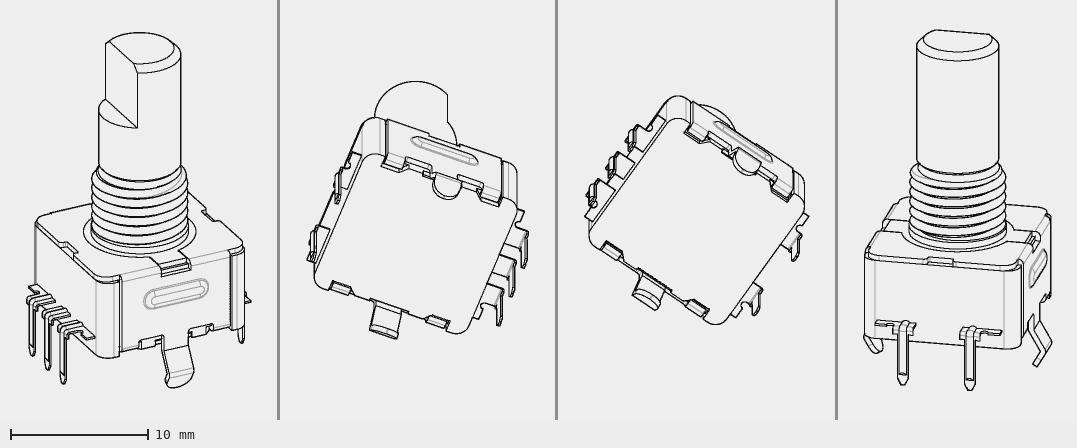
import cadquery as cq
import math


HOUSING_WIDTH = 11.6
HOUSING_LENGTH = 12.0
HOUSING_CORNER = 1.0
HOUSING_TOP = 6.1
RECESS_HALF_LENGTH = 4.58

SHEET = 0.4
COVER_TOP = HOUSING_TOP + SHEET
COVER_INNER_X = 5.5
COVER_OUTER_X = COVER_INNER_X + SHEET
COVER_CORNER = 1.0
COVER_BEND_RADIUS = 0.399
FLANGE_HALF_LENGTH = 4.42
FLANGE_BOTTOM = 1.0

WINDOW_RADIUS = 4.1
SLOT_HALF_WIDTH = 1.2
ARM_CLEARANCE = 0.05
ARM_HALF_WIDTH = SLOT_HALF_WIDTH - ARM_CLEARANCE
ARM_END_X = 5.27
BEND_SLOT_BOTTOM = 5.78

EDGE_NOTCH_HALF_WIDTH = 0.95
EDGE_NOTCH_DEPTH = 0.54
EDGE_NOTCH_INNER_RADIUS = 0.12
EDGE_NOTCH_MOUTH_RADIUS = 0.27

HOOK_INNER_Y = 3.04
HOOK_REACH = 0.35
HOOK_TOP = 0.62
POCKET_INNER_Y = 2.64
POCKET_DEPTH = 0.56

LEG_HALF_WIDTH = 1.0
LEG_ANGLE = math.radians(30)
LEG_MAX_X = 6.795
LEG_ELBOW_Z = -1.98
LEG_TIP_Z = -3.51
LEG_TIP_RADIUS = 0.98
FLANGE_NOTCH_RADIUS = 0.2
LEG_RELIEF_HALF_WIDTH = 1.5
LEG_RELIEF_TOP = 0.49
LEG_RELIEF_DEPTH = 0.2

BEAD_Z = 4.1
BEAD_HALF_STRAIGHT = 1.85
BEAD_BASE_RADIUS = 0.8
BEAD_TOP_RADIUS = 0.31
BEAD_HEIGHT = 0.26
BEAD_FLARE_RADIUS = 0.12

COLLAR_DIAMETER = 7.1
COLLAR_TOP = 7.0
BUSHING_TOP = 11.5
THREAD_RADIUS = 3.5
THREAD_ROOT_RADIUS = 2.9
THREAD_PITCH = 0.75
THREAD_CREST_Z = 7.32
THREAD_TURNS = 7
THREAD_CREST_FLAT = 0.02
THREAD_ROOT_FLAT = 0.015
THREAD_ROOT_OVERLAP = 0.1
THREAD_CHAMFER = 0.52

SHAFT_DIAMETER = 6.0
NECK_DIAMETER = 3.0
SHAFT_TOP = 21.5
SHAFT_SHOULDER = 12.0
NECK_BOTTOM = COVER_TOP
SHAFT_TOP_CHAMFER = 0.5
SHAFT_SHOULDER_CHAMFER = 0.2
D_CUT_BOTTOM = 16.5
D_CUT_Y = -1.5

TERMINAL_THICKNESS = 0.15
TERMINAL_TOP = 1.45
TERMINAL_PITCH = 2.5
TERMINAL_BEND = 0.23
TERMINAL_NECK_WIDTH = 1.5
TERMINAL_NECK_BOTTOM = 0.91
PIN_WIDTH = 0.8
PIN_BOTTOM = -3.03
PIN_TAPER = 0.5
PIN_TIP_WIDTH = 0.3
RIB_WIDTH = 0.55
RIB_HEIGHT = 0.15
RIB_BOTTOM = -2.03
RIB_RUNOUT = 0.2
WING_OUTER_X = 4.66
WING_END_Y = 6.7
WING_NOTCH_RADIUS = 0.27
FRONT_PIN_Y = 7.57
BACK_PIN_Y = 7.08


def box(x0, x1, y0, y1, z0, z1):
    """Box between two corners."""
    return cq.Workplane("XY").box(x1 - x0, y1 - y0, z1 - z0, centered=False).translate((x0, y0, z0))


def both_x_sides(part):
    """The part together with its mirror image across the YZ plane."""
    return part.union(part.mirror("YZ"))


def both_y_sides(part):
    """The part together with its mirror image across the XZ plane."""
    return part.union(part.mirror("XZ"))



def make_shaft():
    neck = cq.Workplane("XY").workplane(offset=NECK_BOTTOM)
    neck = neck.circle(NECK_DIAMETER / 2).extrude(SHAFT_SHOULDER - NECK_BOTTOM)
    body = cq.Workplane("XY").workplane(offset=SHAFT_SHOULDER)
    body = body.circle(SHAFT_DIAMETER / 2).extrude(SHAFT_TOP - SHAFT_SHOULDER)
    body = body.faces(">Z").chamfer(SHAFT_TOP_CHAMFER)
    body = body.faces("<Z").chamfer(SHAFT_SHOULDER_CHAMFER)
    radius = SHAFT_DIAMETER / 2
    d_cut = box(-radius, radius, -radius, D_CUT_Y, D_CUT_BOTTOM, SHAFT_TOP)
    return neck.union(body.cut(d_cut))



def window_shape(arm_half_width):
    """Disc with an arm to each side, one sheet thickness high."""
    disc = cq.Workplane("XY").workplane(offset=HOUSING_TOP).circle(WINDOW_RADIUS).extrude(SHEET)
    arms = box(-ARM_END_X, ARM_END_X, -arm_half_width, arm_half_width, HOUSING_TOP, COVER_TOP)
    return disc.union(arms)


def make_block():
    block = cq.Workplane("XY").rect(HOUSING_WIDTH, HOUSING_LENGTH).extrude(HOUSING_TOP)
    block = block.edges("|Z").fillet(HOUSING_CORNER)
    recess = box(COVER_INNER_X, HOUSING_WIDTH, -RECESS_HALF_LENGTH, RECESS_HALF_LENGTH, 0, HOUSING_TOP)
    block = block.cut(both_x_sides(recess))
    return block.union(window_shape(ARM_HALF_WIDTH))


def hook_pocket():
    """Pocket under one corner, with its inner side wall at a slant."""
    back_x = COVER_INNER_X - POCKET_DEPTH
    return (
        cq.Workplane("XY")
        .moveTo(COVER_INNER_X, POCKET_INNER_Y)
        .lineTo(back_x, POCKET_INNER_Y + POCKET_DEPTH)
        .lineTo(back_x, RECESS_HALF_LENGTH)
        .lineTo(COVER_INNER_X, RECESS_HALF_LENGTH)
        .close()
        .extrude(HOOK_TOP)
    )


def leg_relief():
    """Shallow pocket behind a mounting leg, with a sloping roof."""
    back_x = COVER_INNER_X - LEG_RELIEF_DEPTH
    return (
        cq.Workplane("XZ")
        .moveTo(COVER_INNER_X, 0)
        .lineTo(COVER_INNER_X, LEG_RELIEF_TOP)
        .lineTo(back_x, LEG_RELIEF_TOP - LEG_RELIEF_DEPTH)
        .lineTo(back_x, 0)
        .close()
        .extrude(LEG_RELIEF_HALF_WIDTH, both=True)
    )


def make_thread():
    """Core with a right-hand ridge, trimmed to the bushing length with a chamfered top."""
    start_z = THREAD_CREST_Z - THREAD_PITCH
    helix = cq.Wire.makeHelix(THREAD_PITCH, THREAD_TURNS * THREAD_PITCH, THREAD_ROOT_RADIUS)
    half_base = THREAD_PITCH / 2 - THREAD_ROOT_FLAT / 2
    half_crest = THREAD_CREST_FLAT / 2
    inner_radius = THREAD_ROOT_RADIUS - THREAD_ROOT_OVERLAP
    ridge = (
        cq.Workplane("XZ")
        .moveTo(inner_radius, -half_base)
        .lineTo(THREAD_ROOT_RADIUS, -half_base)
        .lineTo(THREAD_RADIUS, -half_crest)
        .lineTo(THREAD_RADIUS, half_crest)
        .lineTo(THREAD_ROOT_RADIUS, half_base)
        .lineTo(inner_radius, half_base)
        .close()
        .sweep(cq.Workplane(obj=helix), isFrenet=True)
        .translate((0, 0, start_z))
    )
    core = cq.Workplane("XY").workplane(offset=start_z - THREAD_PITCH)
    core = core.circle(THREAD_ROOT_RADIUS).extrude((THREAD_TURNS + 2) * THREAD_PITCH)
    blank = cq.Workplane("XY").workplane(offset=HOUSING_TOP)
    blank = blank.circle(COLLAR_DIAMETER / 2).extrude(BUSHING_TOP - HOUSING_TOP)
    blank = blank.faces(">Z").chamfer(THREAD_CHAMFER)
    return core.union(ridge).intersect(blank)


def make_bushing():
    collar = cq.Workplane("XY").workplane(offset=HOUSING_TOP)
    collar = collar.circle(COLLAR_DIAMETER / 2).extrude(COLLAR_TOP - HOUSING_TOP)
    return collar.union(make_thread())


def terminal_strip(outer_y):
    """L-shaped strip, neck wide at the bend and narrow down the pin, centred on X = 0."""
    inner_y = outer_y - TERMINAL_THICKNESS
    wall_y = HOUSING_LENGTH / 2
    bottom_z = TERMINAL_TOP - TERMINAL_THICKNESS
    bend_y = outer_y - TERMINAL_BEND
    bend_z = TERMINAL_TOP - TERMINAL_BEND
    inner_bend = TERMINAL_BEND - TERMINAL_THICKNESS
    across = math.sqrt(0.5)
    strip = (
        cq.Workplane("YZ")
        .moveTo(wall_y, bottom_z)
        .lineTo(wall_y, TERMINAL_TOP)
        .lineTo(bend_y, TERMINAL_TOP)
        .threePointArc(
            (bend_y + TERMINAL_BEND * across, bend_z + TERMINAL_BEND * across), (outer_y, bend_z)
        )
        .lineTo(outer_y, PIN_BOTTOM)
        .lineTo(inner_y, PIN_BOTTOM)
        .lineTo(inner_y, bend_z)
        .threePointArc(
            (bend_y + inner_bend * across, bend_z + inner_bend * across), (bend_y, bottom_z)
        )
        .close()
        .extrude(TERMINAL_NECK_WIDTH / 2, both=True)
    )
    outline = (
        cq.Workplane("XZ")
        .moveTo(TERMINAL_NECK_WIDTH / 2, TERMINAL_TOP)
        .lineTo(TERMINAL_NECK_WIDTH / 2, TERMINAL_NECK_BOTTOM)
        .lineTo(PIN_WIDTH / 2, TERMINAL_NECK_BOTTOM)
        .lineTo(PIN_WIDTH / 2, PIN_BOTTOM + PIN_TAPER)
        .lineTo(PIN_TIP_WIDTH / 2, PIN_BOTTOM)
        .lineTo(0, PIN_BOTTOM)
        .lineTo(0, TERMINAL_TOP)
        .close()
        .extrude(-outer_y)
    )
    return strip.intersect(both_x_sides(outline))


def terminal_rib(outer_y):
    """Rounded rib along the outer face of a terminal, running out to a slope at its lower end."""
    wall_y = HOUSING_LENGTH / 2
    bend_y = outer_y - TERMINAL_BEND
    bend_z = TERMINAL_TOP - TERMINAL_BEND
    across = TERMINAL_BEND * math.sqrt(0.5)
    path = (
        cq.Workplane("YZ")
        .moveTo(wall_y, TERMINAL_TOP)
        .lineTo(bend_y, TERMINAL_TOP)
        .threePointArc((bend_y + across, bend_z + across), (outer_y, bend_z))
        .lineTo(outer_y, RIB_BOTTOM - RIB_RUNOUT)
    )
    half = RIB_WIDTH / 2
    sunk_z = TERMINAL_TOP - TERMINAL_THICKNESS / 2
    rib = (
        cq.Workplane("XZ", origin=(0, wall_y, 0))
        .moveTo(-half, sunk_z)
        .lineTo(-half, TERMINAL_TOP)
        .threePointArc((0, TERMINAL_TOP + RIB_HEIGHT), (half, TERMINAL_TOP))
        .lineTo(half, sunk_z)
        .close()
        .sweep(path)
    )
    runout = (
        cq.Workplane("YZ")
        .moveTo(outer_y, RIB_BOTTOM - RIB_RUNOUT)
        .lineTo(outer_y + RIB_HEIGHT, RIB_BOTTOM)
        .lineTo(outer_y + RIB_HEIGHT, RIB_BOTTOM - RIB_RUNOUT)
        .close()
        .extrude(half, both=True)
    )
    return rib.cut(runout)


def terminal_wing():
    """Flat wing on the -X side of a corner terminal, notched where it meets the neck."""
    neck_x = TERMINAL_PITCH + TERMINAL_NECK_WIDTH / 2
    bottom_z = TERMINAL_TOP - TERMINAL_THICKNESS
    wing = box(-WING_OUTER_X, -neck_x, HOUSING_LENGTH / 2, WING_END_Y, bottom_z, TERMINAL_TOP)
    notch = cq.Workplane("XY").workplane(offset=bottom_z)
    notch = notch.center(-neck_x - WING_NOTCH_RADIUS, WING_END_Y)
    return wing.cut(notch.circle(WING_NOTCH_RADIUS).extrude(TERMINAL_THICKNESS))


def terminal_row(outer_y, with_middle):
    """Terminals on the +Y side of the housing."""
    terminal = terminal_strip(outer_y).union(terminal_rib(outer_y))
    corner = terminal.translate((-TERMINAL_PITCH, 0, 0)).union(terminal_wing())
    row = both_x_sides(corner)
    return row.union(terminal) if with_middle else row


def make_housing():
    housing = make_block().cut(both_x_sides(both_y_sides(hook_pocket()))).cut(both_x_sides(leg_relief()))
    bore = cq.Workplane("XY").workplane(offset=NECK_BOTTOM)
    bore = bore.circle(NECK_DIAMETER / 2).extrude(BUSHING_TOP - NECK_BOTTOM)
    housing = housing.union(terminal_row(BACK_PIN_Y, with_middle=False))
    housing = housing.union(terminal_row(FRONT_PIN_Y, with_middle=True).mirror("XZ"))
    return housing.union(make_bushing().cut(bore))



def edge_notch():
    """Notch in the +Y edge of the cover top, with a flared mouth."""
    edge_y = HOUSING_LENGTH / 2
    half = EDGE_NOTCH_HALF_WIDTH
    flare = EDGE_NOTCH_MOUTH_RADIUS
    notch = box(-half, half, edge_y - EDGE_NOTCH_DEPTH, edge_y, HOUSING_TOP, COVER_TOP)
    notch = notch.edges("|Z and <Y").fillet(EDGE_NOTCH_INNER_RADIUS)
    mouth = box(half, half + flare, edge_y - flare, edge_y, HOUSING_TOP, COVER_TOP)
    rounding = cq.Workplane("XY").workplane(offset=HOUSING_TOP).center(half + flare, edge_y - flare)
    mouth = mouth.cut(rounding.circle(flare).extrude(SHEET))
    return notch.union(both_x_sides(mouth))


def cover_plate():
    plate = cq.Workplane("XY").workplane(offset=HOUSING_TOP)
    plate = plate.rect(2 * COVER_INNER_X, HOUSING_LENGTH).extrude(SHEET)
    plate = plate.edges("|Z").fillet(COVER_CORNER)
    return plate.cut(both_y_sides(edge_notch()))


def cover_flange():
    """Flange on the +X side, with its bend to the top plate."""
    flange = box(
        COVER_INNER_X, COVER_OUTER_X, -FLANGE_HALF_LENGTH, FLANGE_HALF_LENGTH, FLANGE_BOTTOM, COVER_TOP
    )
    return flange.edges("|Y and >Z and >X").fillet(COVER_BEND_RADIUS)


def cover_hook():
    """Foot of the flange that folds under the housing at the +Y end."""
    across = SHEET * math.sqrt(0.5)
    return (
        cq.Workplane("XZ", origin=(0, FLANGE_HALF_LENGTH, 0))
        .moveTo(COVER_INNER_X, FLANGE_BOTTOM)
        .lineTo(COVER_OUTER_X, FLANGE_BOTTOM)
        .lineTo(COVER_OUTER_X, HOOK_TOP)
        .threePointArc((COVER_INNER_X + across, HOOK_TOP - across), (COVER_INNER_X, HOOK_TOP - SHEET))
        .lineTo(COVER_INNER_X - HOOK_REACH, HOOK_TOP - SHEET)
        .lineTo(COVER_INNER_X - HOOK_REACH, HOOK_TOP)
        .lineTo(COVER_INNER_X, HOOK_TOP)
        .close()
        .extrude(FLANGE_HALF_LENGTH - HOOK_INNER_Y)
    )


def notch_fillet(corner_y, direction):
    """Concave fillet below the flange, in the corner beside a hook or the leg."""
    radius = FLANGE_NOTCH_RADIUS
    centre_y = corner_y + direction * radius
    y0, y1 = sorted((corner_y, centre_y))
    fillet = box(COVER_INNER_X, COVER_OUTER_X, y0, y1, FLANGE_BOTTOM - radius, FLANGE_BOTTOM)
    rounding = cq.Workplane("YZ", origin=(COVER_INNER_X, centre_y, FLANGE_BOTTOM - radius))
    return fillet.cut(rounding.circle(radius).extrude(SHEET))


def mounting_leg():
    """Leg on the +X side: straight down, kinked out, then in to a round tip."""
    sin_a = math.sin(LEG_ANGLE)
    cos_a = math.cos(LEG_ANGLE)
    elbow_x = LEG_MAX_X - SHEET
    kink_z = LEG_ELBOW_Z + (elbow_x - COVER_INNER_X) / math.tan(LEG_ANGLE)
    outer_kink_z = kink_z + SHEET * math.tan(LEG_ANGLE / 2)
    lower_length = (LEG_ELBOW_Z - SHEET * sin_a - LEG_TIP_Z) / cos_a
    tip_x = elbow_x - lower_length * sin_a
    tip_z = LEG_ELBOW_Z - lower_length * cos_a
    leg = (
        cq.Workplane("XZ")
        .moveTo(COVER_INNER_X, FLANGE_BOTTOM)
        .lineTo(COVER_OUTER_X, FLANGE_BOTTOM)
        .lineTo(COVER_OUTER_X, outer_kink_z)
        .lineTo(elbow_x + SHEET * cos_a, LEG_ELBOW_Z + SHEET * sin_a)
        .threePointArc(
            (elbow_x + SHEET, LEG_ELBOW_Z), (elbow_x + SHEET * cos_a, LEG_ELBOW_Z - SHEET * sin_a)
        )
        .lineTo(tip_x + SHEET * cos_a, tip_z - SHEET * sin_a)
        .lineTo(tip_x, tip_z)
        .lineTo(elbow_x, LEG_ELBOW_Z)
        .lineTo(COVER_INNER_X, kink_z)
        .close()
        .extrude(LEG_HALF_WIDTH, both=True)
    )
    for side in (-1, 1):
        corner = (tip_x + SHEET * cos_a / 2, side * LEG_HALF_WIDTH, tip_z - SHEET * sin_a / 2)
        leg = leg.edges(cq.selectors.NearestToPointSelector(corner)).fillet(LEG_TIP_RADIUS)
    return leg


def bead():
    """Raised bead on the +X flange: a straight run with a half-round end each way."""
    run = BEAD_BASE_RADIUS - BEAD_TOP_RADIUS
    crown_radius = (run ** 2 + BEAD_HEIGHT ** 2) / (2 * BEAD_HEIGHT) - BEAD_FLARE_RADIUS
    turn = math.asin(run / (crown_radius + BEAD_FLARE_RADIUS))

    def on_flare(angle):
        return (
            BEAD_BASE_RADIUS - BEAD_FLARE_RADIUS * math.sin(angle),
            BEAD_FLARE_RADIUS * (1 - math.cos(angle)),
        )

    def on_crown(angle):
        return (
            BEAD_TOP_RADIUS + crown_radius * math.sin(angle),
            BEAD_HEIGHT - crown_radius * (1 - math.cos(angle)),
        )

    def half_section(plane):
        return (
            plane.moveTo(0, 0)
            .lineTo(BEAD_BASE_RADIUS, 0)
            .threePointArc(on_flare(turn / 2), on_flare(turn))
            .threePointArc(on_crown(turn / 2), on_crown(0))
            .lineTo(0, BEAD_HEIGHT)
            .close()
        )

    straight = half_section(cq.Workplane("YZ")).extrude(BEAD_HALF_STRAIGHT, both=True)
    dome = half_section(cq.Workplane("XZ")).revolve(360, (0, 0, 0), (0, 1, 0))
    shape = both_y_sides(straight)
    for end in (-BEAD_HALF_STRAIGHT, BEAD_HALF_STRAIGHT):
        shape = shape.union(dome.translate((end, 0, 0)))
    shape = shape.rotate((0, 0, 0), (0, 0, 1), 90).rotate((0, 0, 0), (0, 1, 0), 90)
    return shape.translate((COVER_OUTER_X, 0, BEAD_Z))


def make_cover():
    side = cover_flange().union(both_y_sides(cover_hook())).union(mounting_leg())
    fillets = notch_fillet(LEG_HALF_WIDTH, 1).union(notch_fillet(HOOK_INNER_Y, -1))
    side = side.union(both_y_sides(fillets)).union(bead())
    cover = cover_plate().union(both_x_sides(side))
    bend_slot = box(ARM_END_X, COVER_OUTER_X, -SLOT_HALF_WIDTH, SLOT_HALF_WIDTH, BEND_SLOT_BOTTOM, COVER_TOP)
    return cover.cut(window_shape(SLOT_HALF_WIDTH)).cut(both_x_sides(bend_slot))


shaft = make_shaft()
housing = make_housing()
cover = make_cover()
bodies = [body.solids().val() for body in (shaft, housing, cover)]
result = cq.Compound.makeCompound(bodies)